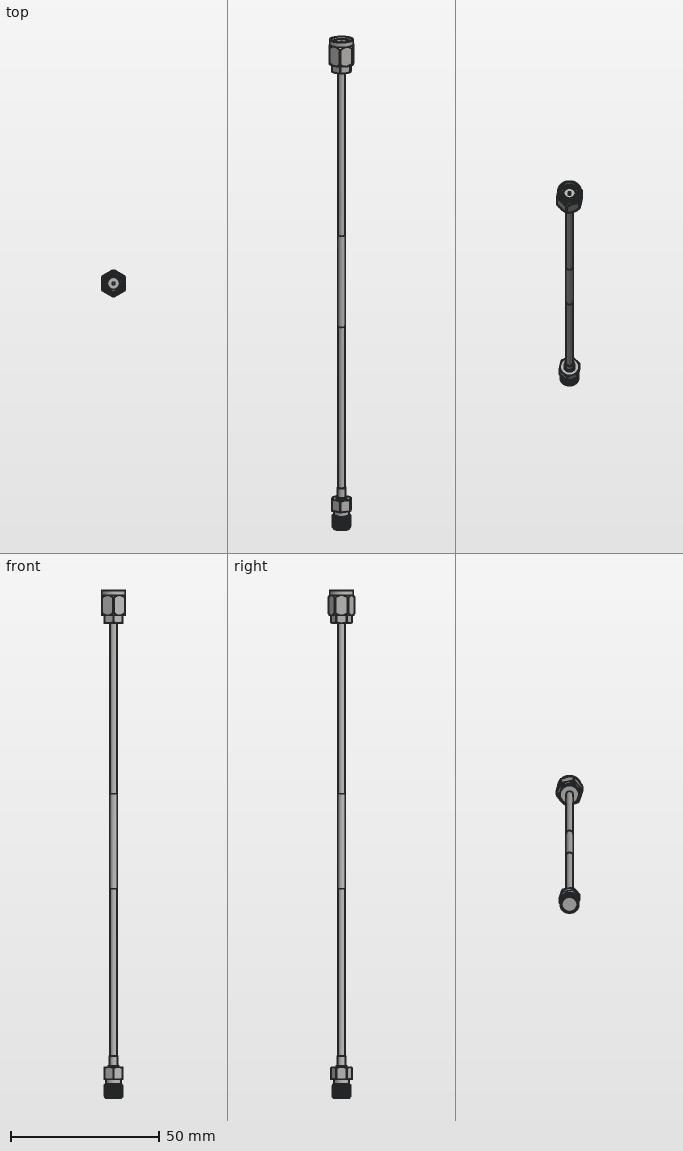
import cadquery as cq
import math


OVERALL_LENGTH = 171.22

NUT_FLATS = 7.94
NUT_CORNER_DIAMETER = 8.89
NUT_HEX_LENGTH = 6.8
NUT_RING_LENGTH = 1.65
NUT_BORE_DIAMETER = 6.0
NUT_MOUTH_DIAMETER = 7.0
NUT_MOUTH_DEPTH = 0.6
NUT_CORNER_CHAMFER = 0.75

CONNECTOR_FLATS = 6.35
CONNECTOR_CORNER_DIAMETER = 7.15
CONNECTOR_CORNER_CHAMFER = 0.3

BODY_HEX_LENGTH = 2.6
SHELL_OUTER_DIAMETER = NUT_BORE_DIAMETER
SHELL_NOSE_DIAMETER = 5.3
SHELL_INNER_DIAMETER = 4.1
SHELL_RECESS = 0.4
SHELL_NOSE_LENGTH = 3.5
SOCKET_DEPTH = 1.3
PIN_DIAMETER = 0.92
PIN_RECESS = 0.8

CABLE_DIAMETER = 2.4
SLEEVE_DIAMETER = 2.54
SLEEVE_LENGTH = 32.0
SLEEVE_TOP_OFFSET = 57.45

THREAD_DIAMETER = 6.35
THREAD_PITCH = 25.4 / 36
THREAD_LENGTH = 5.1
THREAD_END_CHAMFER = 0.8
THREAD_ROOT_DIAMETER = 5.2
THREAD_CREST_WIDTH = 0.12
THREAD_ROOT_WIDTH = 0.62
THREAD_EMBEDDING = 0.1
THREAD_CREST_CLEARANCE = 0.05
NECK_LENGTH = 1.45
FEMALE_HEX_LENGTH = 4.0
COLLAR_DIAMETER = 3.7
COLLAR_LENGTH = 0.5
FERRULE_DIAMETER = 2.8
FERRULE_LENGTH = 3.4
FERRULE_CHAMFER = 0.2

NUT_BOTTOM = OVERALL_LENGTH - NUT_RING_LENGTH - NUT_HEX_LENGTH
BODY_BOTTOM = NUT_BOTTOM - BODY_HEX_LENGTH
FEMALE_HEX_BOTTOM = THREAD_LENGTH + NECK_LENGTH
FEMALE_HEX_TOP = FEMALE_HEX_BOTTOM + FEMALE_HEX_LENGTH
FERRULE_BOTTOM = FEMALE_HEX_TOP + COLLAR_LENGTH
FERRULE_TOP = FERRULE_BOTTOM + FERRULE_LENGTH
SLEEVE_TOP = BODY_BOTTOM - SLEEVE_TOP_OFFSET
SLEEVE_BOTTOM = SLEEVE_TOP - SLEEVE_LENGTH


def cylinder(diameter, bottom, top):
    return cq.Workplane("XY").workplane(offset=bottom).circle(diameter / 2).extrude(top - bottom)


def hexagon(flats, bottom, top):
    """Hexagonal prism with two flats facing +X and -X and corners on the Y axis."""
    corner_diameter = flats / math.cos(math.pi / 6)
    prism = cq.Workplane("XY").workplane(offset=bottom).polygon(6, corner_diameter).extrude(top - bottom)
    return prism.rotate((0, 0, 0), (0, 0, 1), 30)


def turned(profile):
    """Solid of revolution about Z from (radius, height) points."""
    return cq.Workplane("XZ").polyline(profile).close().revolve(360, (0, 0, 0), (0, 1, 0))


def rounded_hexagon(flats, corner_diameter, bottom, top, bottom_chamfer=0, top_chamfer=0):
    """Hexagonal prism with its corners turned to a diameter.

    Each chamfer is the height of the cone that narrows that end to the width across the flats.
    """
    corner_radius = corner_diameter / 2
    end_radius = flats / 2
    prism = hexagon(flats, bottom, top).intersect(cylinder(corner_diameter, bottom, top))
    for end, inner_height in ((bottom, bottom + bottom_chamfer), (top, top - top_chamfer)):
        if inner_height != end:
            prism = prism.cut(turned([
                (end_radius, end),
                (corner_radius, inner_height),
                (corner_radius, end),
            ]))
    return prism


def make_coupling_nut():
    hex_top = NUT_BOTTOM + NUT_HEX_LENGTH
    nut = rounded_hexagon(
        NUT_FLATS,
        NUT_CORNER_DIAMETER,
        NUT_BOTTOM,
        hex_top,
        bottom_chamfer=NUT_CORNER_CHAMFER,
        top_chamfer=NUT_CORNER_CHAMFER,
    )
    nut = nut.union(cylinder(NUT_FLATS, hex_top, OVERALL_LENGTH))
    mouth = turned([
        (0, OVERALL_LENGTH - NUT_MOUTH_DEPTH),
        (NUT_BORE_DIAMETER / 2, OVERALL_LENGTH - NUT_MOUTH_DEPTH),
        (NUT_MOUTH_DIAMETER / 2, OVERALL_LENGTH),
        (0, OVERALL_LENGTH),
    ])
    return nut.cut(cylinder(NUT_BORE_DIAMETER, NUT_BOTTOM, OVERALL_LENGTH)).cut(mouth)


def make_male_body():
    shell_top = OVERALL_LENGTH - SHELL_RECESS
    nose_bottom = shell_top - SHELL_NOSE_LENGTH
    socket_bottom = shell_top - SOCKET_DEPTH
    body = rounded_hexagon(
        CONNECTOR_FLATS,
        CONNECTOR_CORNER_DIAMETER,
        BODY_BOTTOM,
        NUT_BOTTOM,
        bottom_chamfer=CONNECTOR_CORNER_CHAMFER,
    )
    body = body.union(cylinder(SHELL_OUTER_DIAMETER, NUT_BOTTOM, nose_bottom))
    body = body.union(cylinder(SHELL_NOSE_DIAMETER, nose_bottom, shell_top))
    body = body.cut(cylinder(SHELL_INNER_DIAMETER, socket_bottom, shell_top))
    return body.union(cylinder(PIN_DIAMETER, socket_bottom, OVERALL_LENGTH - PIN_RECESS))


def make_thread():
    """Helical ridge, trimmed by an envelope that is chamfered at both ends."""
    root_radius = THREAD_ROOT_DIAMETER / 2
    crest_radius = THREAD_DIAMETER / 2
    embedded_radius = root_radius - THREAD_EMBEDDING
    start = -THREAD_PITCH
    helix = cq.Wire.makeHelix(THREAD_PITCH, THREAD_LENGTH + 2 * THREAD_PITCH, root_radius)
    helix = helix.translate(cq.Vector(0, 0, start))
    ridge = (
        cq.Workplane("XZ")
        .polyline([
            (embedded_radius, start - THREAD_ROOT_WIDTH / 2),
            (crest_radius, start - THREAD_CREST_WIDTH / 2),
            (crest_radius, start + THREAD_CREST_WIDTH / 2),
            (embedded_radius, start + THREAD_ROOT_WIDTH / 2),
        ])
        .close()
        .sweep(cq.Workplane(helix), isFrenet=True)
    )
    envelope_diameter = THREAD_DIAMETER + 2 * THREAD_CREST_CLEARANCE
    envelope = cylinder(envelope_diameter, 0, THREAD_LENGTH).faces("|Z").chamfer(THREAD_END_CHAMFER)
    return ridge.intersect(envelope)


def make_female_connector():
    core = cylinder(THREAD_ROOT_DIAMETER, 0, FEMALE_HEX_BOTTOM)
    connector = core.union(make_thread())
    flats = rounded_hexagon(
        CONNECTOR_FLATS,
        CONNECTOR_CORNER_DIAMETER,
        FEMALE_HEX_BOTTOM,
        FEMALE_HEX_TOP,
        top_chamfer=CONNECTOR_CORNER_CHAMFER,
    )
    connector = connector.union(flats)
    connector = connector.union(cylinder(COLLAR_DIAMETER, FEMALE_HEX_TOP, FERRULE_BOTTOM))
    ferrule = cylinder(FERRULE_DIAMETER, FERRULE_BOTTOM, FERRULE_TOP).faces(">Z").chamfer(FERRULE_CHAMFER)
    return connector.union(ferrule)


def make_cable():
    return cylinder(CABLE_DIAMETER, FERRULE_TOP, BODY_BOTTOM)


def make_sleeve():
    sleeve = cylinder(SLEEVE_DIAMETER, SLEEVE_BOTTOM, SLEEVE_TOP)
    return sleeve.cut(cylinder(CABLE_DIAMETER, SLEEVE_BOTTOM, SLEEVE_TOP))


coupling_nut = make_coupling_nut()
male_body = make_male_body()
cable = make_cable()
sleeve = make_sleeve()
female_connector = make_female_connector()

result = cq.Compound.makeCompound([
    coupling_nut.val(),
    male_body.val(),
    cable.val(),
    sleeve.val(),
    female_connector.val(),
])